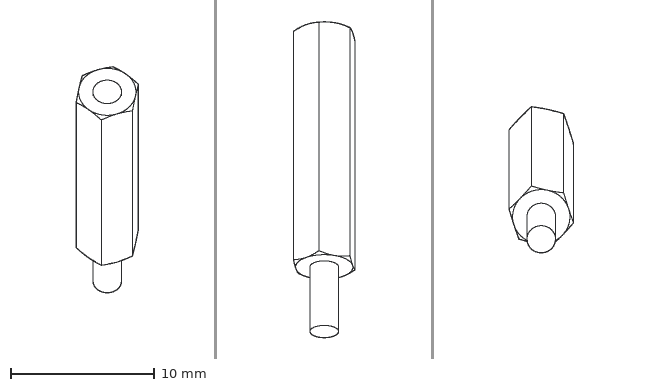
import cadquery as cq
import math

total_length = 23.0
stud_length = 5.0
across_flats = 4.0
hex_sides = 6
thread_diameter = 2.0
hole_depth = stud_length
chamfer_angle = 30.0
quarter_turn = 90.0

hex_length = total_length - stud_length
flat_radius = across_flats / 2
corner_radius = flat_radius / math.cos(math.pi / hex_sides)
chamfer_height = (corner_radius - flat_radius) * math.tan(math.radians(chamfer_angle))


def chamfer_envelope():
    """Round blank with conical ends; it trims the corners of the hexagon."""
    return (
        cq.Workplane("XZ")
        .moveTo(0, stud_length)
        .lineTo(flat_radius, stud_length)
        .lineTo(corner_radius, stud_length + chamfer_height)
        .lineTo(corner_radius, total_length - chamfer_height)
        .lineTo(flat_radius, total_length)
        .lineTo(0, total_length)
        .close()
        .revolve(360, (0, 0, 0), (0, 1, 0))
    )


def make_standoff():
    """Hexagonal sleeve with corners on the Y axis and a blind hole in its top."""
    hexagon = (
        cq.Workplane("XY")
        .workplane(offset=stud_length)
        .polygon(hex_sides, 2 * corner_radius)
        .extrude(hex_length)
        .rotate((0, 0, 0), (0, 0, 1), quarter_turn)
    )
    socket = (
        cq.Workplane("XY")
        .workplane(offset=total_length - hole_depth)
        .circle(thread_diameter / 2)
        .extrude(hole_depth)
    )
    return hexagon.intersect(chamfer_envelope()).cut(socket)


def make_stud():
    """Plain round stud that meets the lower face of the standoff."""
    return cq.Workplane("XY").circle(thread_diameter / 2).extrude(stud_length)


standoff = make_standoff()
stud = make_stud()

result = cq.Compound.makeCompound([standoff.val(), stud.val()])